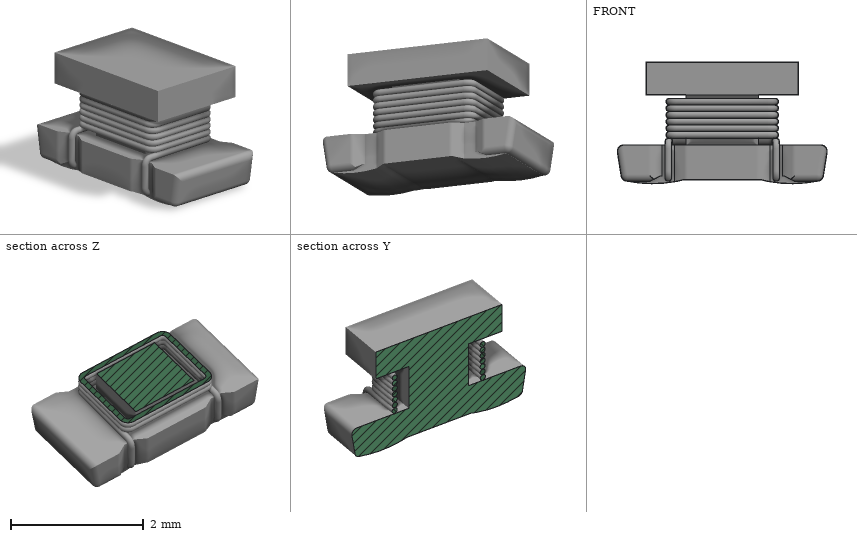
import cadquery as cq
import math


cap_length = 2.3
cap_height = 0.498
core_width = 1.6
post_length = 1.1
post_width = 1.002
post_height = 0.755

base_length = 3.17
end_depth = 0.548
middle_depth = 0.525
edge_radius = 0.098
end_draft = 9.0

notch_x = 0.815
notch_floor_width = 0.19
notch_wall_angle = 30.0
groove_depth = 0.465
groove_top_width = 0.228
groove_run = 2.0

pad_width = 1.4
pad_depth = 0.585
pad_x = 1.052
pad_radius = 1.87

turns = 7
winding_height = 0.705
wire_diameter = winding_height / turns
wire_radius = wire_diameter / 2
turn_length = 1.598
turn_width = 1.198
bend_radius = wire_diameter
lead_splay_y = 0.255
lead_bend_z = -0.405
lead_foot_length = 0.127

half_width = core_width / 2
draft_slope = math.tan(math.radians(end_draft))
top_corner_reach = edge_radius * (math.tan(math.radians(45 + end_draft / 2)) - 1)
sharp_half_length = base_length / 2 + top_corner_reach
notch_depth = (core_width - pad_width) / 2
notch_half_floor = notch_floor_width / 2
notch_wall_slope = math.tan(math.radians(notch_wall_angle))
notch_half_mouth = notch_half_floor + notch_depth / notch_wall_slope
groove_half_top = groove_top_width / 2
SIDES = (-1, 1)


def mirror_to_left(shape):
    return shape.mirror("YZ")


def make_end_block():
    """Right end of the base, up to the middle of the notch, with its outer edges rounded."""
    block = (
        cq.Workplane("XZ")
        .polyline([
            (notch_x, 0),
            (sharp_half_length, 0),
            (sharp_half_length - end_depth * draft_slope, -end_depth),
            (notch_x, -end_depth),
        ])
        .close()
        .extrude(half_width, both=True)
    )
    end_face_edges = block.faces(">X").edges()
    bottom_side_edges = block.faces("<Z").edges("|X")
    return end_face_edges.add(bottom_side_edges).fillet(edge_radius)


def make_notch_cutter(side):
    """Prism for one notch near the right end; side is the sign of Y."""
    floor_y = side * pad_width / 2
    mouth_y = side * half_width
    outside_y = mouth_y + side * notch_depth
    left_mouth = notch_x - notch_half_mouth
    right_mouth = notch_x + notch_half_mouth
    margin = edge_radius
    cutter = (
        cq.Workplane("XY")
        .polyline([
            (notch_x - notch_half_floor, floor_y),
            (notch_x + notch_half_floor, floor_y),
            (right_mouth, mouth_y),
            (right_mouth + margin, mouth_y),
            (right_mouth + margin, outside_y),
            (left_mouth - margin, outside_y),
            (left_mouth - margin, mouth_y),
            (left_mouth, mouth_y),
        ])
        .close()
        .extrude(-pad_depth)
    )
    mouth_edges = cq.selectors.BoxSelector(
        (left_mouth - margin / 2, mouth_y - margin / 4, -pad_depth),
        (right_mouth + margin / 2, mouth_y + margin / 4, 0),
    )
    return cutter.edges("|Z").edges(mouth_edges).fillet(edge_radius)


def make_groove_cutter():
    """Trapezoidal groove across the underside near the right end."""
    half_bottom = groove_half_top + groove_run * (pad_depth - groove_depth)
    return (
        cq.Workplane("XZ")
        .polyline([
            (notch_x - groove_half_top, -groove_depth),
            (notch_x + groove_half_top, -groove_depth),
            (notch_x + half_bottom, -pad_depth),
            (notch_x - half_bottom, -pad_depth),
        ])
        .close()
        .extrude(core_width, both=True)
    )


def make_pad():
    """Right contact pad: curved underneath, flush with the notch floors and inner notch walls."""
    rise = pad_depth - groove_depth
    half_chord = math.sqrt(pad_radius ** 2 - (pad_radius - rise) ** 2)
    profile = (
        cq.Workplane("XZ")
        .moveTo(pad_x - half_chord, -groove_depth)
        .threePointArc((pad_x, -pad_depth), (pad_x + half_chord, -groove_depth))
        .close()
        .extrude(half_width, both=True)
    )
    inner_reach = groove_half_top + groove_run * (middle_depth - groove_depth)
    inner_x = notch_x - inner_reach
    inner_half_width = half_width - (notch_half_mouth - inner_reach) * notch_wall_slope
    floor_x = notch_x - notch_half_floor
    outer_x = sharp_half_length - end_depth * draft_slope - edge_radius
    outline = (
        cq.Workplane("XY")
        .polyline([
            (inner_x, -inner_half_width),
            (floor_x, -pad_width / 2),
            (outer_x, -pad_width / 2),
            (outer_x, pad_width / 2),
            (floor_x, pad_width / 2),
            (inner_x, inner_half_width),
        ])
        .close()
        .extrude(-pad_depth)
    )
    return profile.intersect(outline)


def make_core(lead_wire):
    middle = cq.Workplane("XY").box(2 * notch_x, core_width, middle_depth, centered=(True, True, False))
    middle = middle.translate((0, 0, -middle_depth))
    post = cq.Workplane("XY").box(post_length, post_width, post_height, centered=(True, True, False))
    cap = (
        cq.Workplane("XY", origin=(0, 0, post_height))
        .box(cap_length, core_width, cap_height, centered=(True, True, False))
    )

    end_block = make_end_block()
    core = middle.union(end_block).union(mirror_to_left(end_block))
    cutters = [make_notch_cutter(side) for side in SIDES]
    cutters.append(make_groove_cutter())
    for cutter in cutters:
        core = core.cut(cutter).cut(mirror_to_left(cutter))

    pad = make_pad()
    core = core.union(pad).union(mirror_to_left(pad))
    core = core.union(post).union(cap)
    return core.cut(lead_wire)


def sweep_wire(corners, is_ring):
    """Round wire whose centre line runs through the corners, each bent to the bend radius."""
    path = cq.Wire.makePolygon([cq.Vector(*corner) for corner in corners], close=is_ring)
    path = path.fillet(bend_radius)
    section = cq.Workplane(cq.Plane(origin=path.startPoint(), normal=path.tangentAt(0)))
    return section.circle(wire_radius).sweep(cq.Workplane(path), transition="right")


def make_ring(level):
    """One closed turn around the post, with its centre line at height level."""
    half_length = turn_length / 2
    half_turn_width = turn_width / 2
    corners = [
        (-half_length, -half_turn_width, level),
        (half_length, -half_turn_width, level),
        (half_length, half_turn_width, level),
        (-half_length, half_turn_width, level),
    ]
    return sweep_wire(corners, is_ring=True)


def make_lead_wire():
    """Lowest turn, open at the front, with both ends bent down through the front notches."""
    lead_y = wire_radius - half_width
    foot_y = lead_y + lead_foot_length
    foot_z = lead_bend_z - bend_radius
    left_half = [
        (-notch_x, foot_y, foot_z),
        (-notch_x, lead_y, foot_z),
        (-notch_x, lead_y, wire_radius),
        (-turn_length / 2, lead_splay_y, wire_radius),
        (-turn_length / 2, turn_width / 2, wire_radius),
    ]
    right_half = [(-x, y, z) for x, y, z in reversed(left_half)]
    return sweep_wire(left_half + right_half, is_ring=False)


lead_wire = make_lead_wire()
core = make_core(lead_wire)
rings = [make_ring(wire_radius + turn * wire_diameter) for turn in range(1, turns)]

result = cq.Compound.makeCompound([
    core.val(),
    lead_wire.val(),
    *[ring.val() for ring in rings],
])